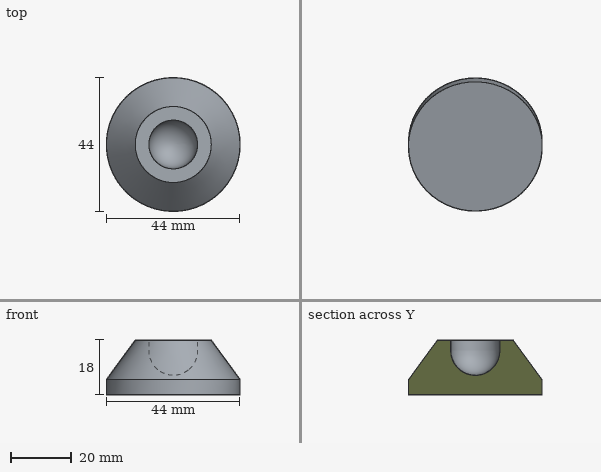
import cadquery as cq

base_diameter = 44.0
top_diameter = 25.0
height = 18.0
rim_height = 5.0

socket_diameter = 16.0
socket_wall_depth = 3.5

base_radius = base_diameter / 2
top_radius = top_diameter / 2
socket_radius = socket_diameter / 2
ball_center_height = height - socket_wall_depth


def make_body():
    """Short cylindrical rim with a truncated cone above it."""
    return (
        cq.Workplane("XZ")
        .lineTo(base_radius, 0)
        .lineTo(base_radius, rim_height)
        .lineTo(top_radius, height)
        .lineTo(0, height)
        .close()
        .revolve(360, (0, 0), (0, 1))
    )


def make_socket():
    """Straight bore ending in a hemisphere of the same radius."""
    bore = (
        cq.Workplane("XY", origin=(0, 0, ball_center_height))
        .circle(socket_radius)
        .extrude(socket_wall_depth)
    )
    ball = cq.Workplane("XY").sphere(socket_radius).translate((0, 0, ball_center_height))
    return bore.union(ball)


result = make_body().cut(make_socket())